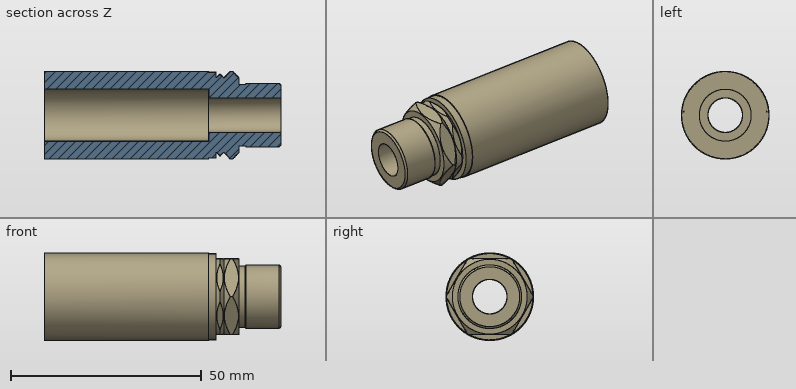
import cadquery as cq
import math

overall_length = 62.0
sleeve_end = 43.0
collar_end = 45.0
small_hex_end = 47.0
large_hex_end = 51.0
undercut_end = 52.6

sleeve_diameter = 23.0
collar_diameter = 22.6
spigot_diameter = 16.7
undercut_diameter = 16.2
bore_diameter = 13.6
through_diameter = 9.0
bore_depth = sleeve_end

hex_corner_diameter = sleeve_diameter
hex_across_flats = hex_corner_diameter * math.cos(math.pi / 6)
hex_chamfer_inset = 0.15
hex_chamfer_start_radius = hex_across_flats / 2 - hex_chamfer_inset
hex_chamfer_angle = 45.0

spigot_tip_chamfer = 0.5


def cylinder(start, end, diameter):
    """Solid cylinder on the X axis between two stations."""
    return cq.Workplane("YZ", origin=(start, 0, 0)).circle(diameter / 2).extrude(end - start)


def chamfered_hexagon(start, end):
    """Hexagonal prism on the X axis with conical chamfers at both ends and flats facing +Z and -Z."""
    prism = cq.Workplane("YZ", origin=(start, 0, 0)).polygon(6, hex_corner_diameter).extrude(end - start)
    middle = (start + end) / 2
    peak_radius = hex_chamfer_start_radius + (middle - start) * math.tan(math.radians(hex_chamfer_angle))
    double_cone = (
        cq.Workplane("XY")
        .moveTo(start, 0)
        .lineTo(start, hex_chamfer_start_radius)
        .lineTo(middle, peak_radius)
        .lineTo(end, hex_chamfer_start_radius)
        .lineTo(end, 0)
        .close()
        .revolve(360, (0, 0, 0), (1, 0, 0))
    )
    return prism.intersect(double_cone)


def spigot():
    """End spigot with a chamfered tip and a 45 degree shoulder down to the undercut."""
    shoulder_chamfer = (spigot_diameter - undercut_diameter) / 2
    body = cylinder(undercut_end, overall_length, spigot_diameter)
    return body.faces(">X").chamfer(spigot_tip_chamfer).faces("<X").chamfer(shoulder_chamfer)


outside = (
    cylinder(0, sleeve_end, sleeve_diameter)
    .union(cylinder(sleeve_end, collar_end, collar_diameter))
    .union(chamfered_hexagon(collar_end, small_hex_end))
    .union(chamfered_hexagon(small_hex_end, large_hex_end))
    .union(cylinder(large_hex_end, undercut_end, undercut_diameter))
    .union(spigot())
)

bore = cylinder(0, bore_depth, bore_diameter)
through_hole = cylinder(0, overall_length, through_diameter)

result = outside.cut(bore).cut(through_hole)